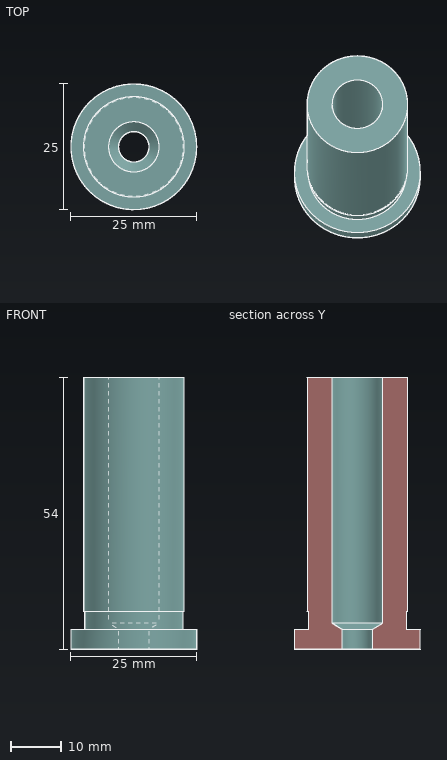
import cadquery as cq
import math

total_height = 54.0
flange_diameter = 25.0
flange_height = 4.0
body_diameter = 20.0

relief_diameter = 19.6
relief_height = 3.5

bore_diameter = 10.0
bottom_hole_diameter = 6.0
bottom_hole_depth = flange_height
cone_tip_angle = 118.0

bore_radius = bore_diameter / 2
bottom_hole_radius = bottom_hole_diameter / 2
cone_height = (bore_radius - bottom_hole_radius) / math.tan(math.radians(cone_tip_angle / 2))
bore_floor = bottom_hole_depth + cone_height


def make_outside():
    """Flange, relief and body stacked along Z."""
    flange = cq.Workplane("XY").circle(flange_diameter / 2).extrude(flange_height)
    relief = flange.faces(">Z").workplane().circle(relief_diameter / 2).extrude(relief_height)
    body_height = total_height - flange_height - relief_height
    return relief.faces(">Z").workplane().circle(body_diameter / 2).extrude(body_height)


def make_bore():
    """Revolved volume of the stepped bore."""
    return (
        cq.Workplane("XZ")
        .lineTo(bottom_hole_radius, 0)
        .lineTo(bottom_hole_radius, bottom_hole_depth)
        .lineTo(bore_radius, bore_floor)
        .lineTo(bore_radius, total_height)
        .lineTo(0, total_height)
        .close()
        .revolve(360, (0, 0, 0), (0, 1, 0))
    )


result = make_outside().cut(make_bore())